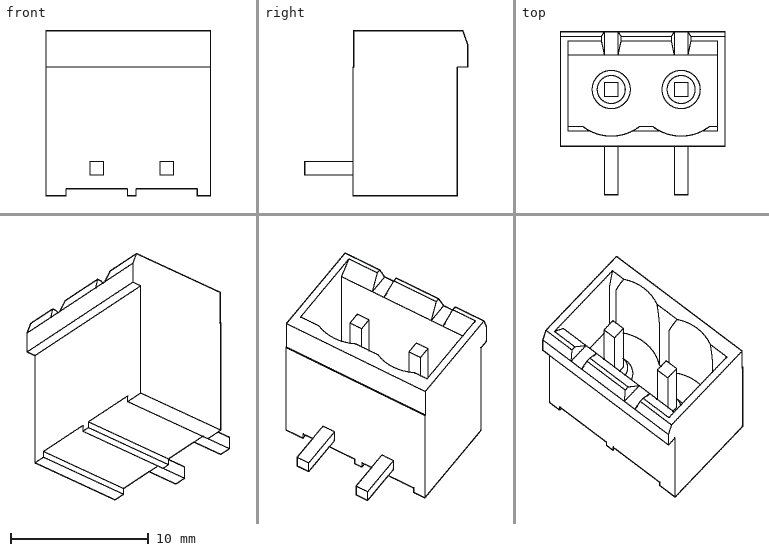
import cadquery as cq


pole_pitch = 5.08
pole_count = 2
pole_xs = [index * pole_pitch for index in range(pole_count)]
pole_y = 4.15

left_margin = 3.7
right_margin = 3.2
housing_left = -left_margin
housing_right = pole_xs[-1] + right_margin
housing_width = housing_right - housing_left
housing_height = 12.0
base_depth = 7.6
shroud_bottom = 9.35
shroud_setback = 0.06
shroud_back = 8.35
back_bevel_depth = 0.35
back_bevel_height = 1.0
back_bevel_bottom = housing_height - back_bevel_height

side_wall = 0.54
cavity_floor = 3.5
cavity_front = 1.15
front_bevel_depth = 0.32
front_bevel_height = 1.9
cavity_back = 6.67
cavity_back_at_rim = cavity_back + back_bevel_height
scallop_radius = 3.39

notch_floor_width = 1.0
notch_rim_width = 1.42

relief_width = 4.45
relief_height = 0.5

pin_size = 1.0
pin_top = 10.5
tail_length = 3.5
tail_centre_z = 2.0
collar_base_radius = 1.39
collar_top_radius = 1.02
collar_height = 0.9


def extrude_side_profile(points, start_x, width):
    """Extrude a closed outline of (y, z) points along +X."""
    return cq.Workplane("YZ", origin=(start_x, 0, 0)).polyline(points).close().extrude(width)


def make_housing():
    """Base block carrying a shroud that overhangs at the back and has a bevelled back edge."""
    outline = [
        (0, 0),
        (base_depth, 0),
        (base_depth, shroud_bottom),
        (shroud_back, shroud_bottom),
        (shroud_back, back_bevel_bottom),
        (shroud_back - back_bevel_depth, housing_height),
        (shroud_setback, housing_height),
        (shroud_setback, shroud_bottom),
        (0, shroud_bottom),
    ]
    return extrude_side_profile(outline, housing_left, housing_width)


def make_cavity():
    """Plug cavity, flared at the rim along its front and back walls."""
    outline = [
        (cavity_front + front_bevel_depth, cavity_floor),
        (cavity_back, cavity_floor),
        (cavity_back, back_bevel_bottom),
        (cavity_back_at_rim, housing_height),
        (cavity_front, housing_height),
        (cavity_front + front_bevel_depth, housing_height - front_bevel_height),
    ]
    return extrude_side_profile(outline, housing_left + side_wall, housing_width - 2 * side_wall)


def make_scallop(pole_x):
    """Round clearance for one plug pole, confined to the front half of the cavity."""
    height = housing_height - cavity_floor
    cylinder = (
        cq.Workplane("XY", origin=(pole_x, pole_y, cavity_floor))
        .circle(scallop_radius)
        .extrude(height)
    )
    front_half = (
        cq.Workplane("XY", origin=(pole_x, pole_y - scallop_radius / 2, cavity_floor))
        .rect(pole_pitch, scallop_radius)
        .extrude(height)
    )
    return cylinder.intersect(front_half)


def make_notch(pole_x):
    """Latch notch with sloping sides, open at the rim and through the back wall."""
    outline = [
        (pole_x - notch_floor_width / 2, back_bevel_bottom),
        (pole_x + notch_floor_width / 2, back_bevel_bottom),
        (pole_x + notch_rim_width / 2, housing_height),
        (pole_x - notch_rim_width / 2, housing_height),
    ]
    depth = shroud_back - pole_y
    return cq.Workplane("XZ", origin=(0, shroud_back, 0)).polyline(outline).close().extrude(depth)


def make_relief(pole_x):
    """Shallow channel under the base, running front to back."""
    return (
        cq.Workplane("XY", origin=(pole_x, base_depth / 2, 0))
        .rect(relief_width, base_depth)
        .extrude(relief_height)
    )


def make_collar(pole_x):
    """Tapered collar on the cavity floor."""
    return (
        cq.Workplane("XY", origin=(pole_x, pole_y, cavity_floor))
        .circle(collar_base_radius)
        .workplane(offset=collar_height)
        .circle(collar_top_radius)
        .loft()
    )


def make_pin(pole_x):
    """Square L-shaped pin: upright contact and a solder tail leaving the front face."""
    tail_bottom = tail_centre_z - pin_size / 2
    tail_top = tail_centre_z + pin_size / 2
    contact_front = pole_y - pin_size / 2
    contact_back = pole_y + pin_size / 2
    outline = [
        (-tail_length, tail_bottom),
        (contact_back, tail_bottom),
        (contact_back, pin_top),
        (contact_front, pin_top),
        (contact_front, tail_top),
        (-tail_length, tail_top),
    ]
    return extrude_side_profile(outline, pole_x - pin_size / 2, pin_size)


result = make_housing().cut(make_cavity())
for pole_x in pole_xs:
    result = result.cut(make_scallop(pole_x))
    result = result.cut(make_notch(pole_x))
    result = result.cut(make_relief(pole_x))
for pole_x in pole_xs:
    result = result.union(make_collar(pole_x))
    result = result.union(make_pin(pole_x))